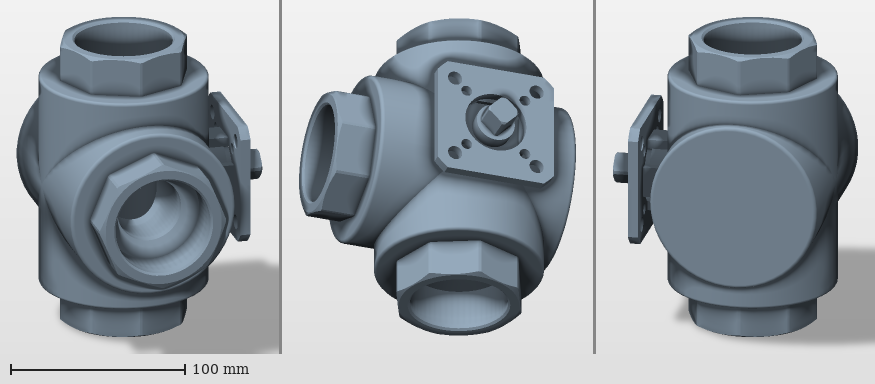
import cadquery as cq
import math

port_reach = 85.3
run_reach = 63.1
branch_reach = 63.5
blind_reach = 55.0
body_diameter = 98.0
run_edge_radius = 1.7
branch_edge_radius = 2.0

octagon_flats = 70.3
octagon_corner_diameter = 75.4
octagon_chamfer_height = 1.7
octagon_chamfer_inset = 3.0

socket_diameter = 56.6
socket_depth = 25.5
mouth_diameter = 59.0
bore_diameter = 38.0
cone_half_angle = 60.0

boss_diameter = 37.0
boss_top = 57.2
collar_diameter = 23.0
leg_width = 17.9
leg_thickness = 5.5
leg_outer_reach = 21.5
plate_bottom = 59.9
plate_thickness = 6.0
plate_top = plate_bottom + plate_thickness
plate_side = 70.5
plate_corner_diameter = 91.5
plate_opening_diameter = 37.0
outer_bolt_circle = 70.0
outer_hole_diameter = 8.5
inner_bolt_circle = 50.0
inner_hole_diameter = 6.5

stem_top = 80.5
stem_flats = 14.0
stem_corner_diameter = 17.9
stem_chamfer = 1.0

mount_root = 37.5

PORT_AXES = (cq.Vector(0, 0, 1), cq.Vector(0, 0, -1), cq.Vector(1, 0, 0))


def port_plane(axis):
    """Plane through the valve centre whose normal runs out of the port."""
    return cq.Plane(origin=(0, 0, 0), xDir=(0, 1, 0), normal=axis)


def mount_plane(height):
    """Plane facing +Y at a height above the valve centre, with local x along X."""
    return cq.Workplane(cq.Plane(origin=(0, height, 0), xDir=(1, 0, 0), normal=(0, 1, 0)))


def mount_cylinder(diameter, bottom, top):
    return mount_plane(bottom).circle(diameter / 2).extrude(top - bottom)


def body():
    """Two crossing barrels of equal diameter with rounded rims."""
    run = cq.Workplane("XY").workplane(offset=-run_reach)
    run = run.circle(body_diameter / 2).extrude(2 * run_reach)
    branch = cq.Workplane("YZ").workplane(offset=-blind_reach)
    branch = branch.circle(body_diameter / 2).extrude(blind_reach + branch_reach)
    run = run.edges("%CIRCLE").fillet(run_edge_radius)
    branch = branch.edges("%CIRCLE").fillet(branch_edge_radius)
    return run.union(branch)


def port_end(axis):
    """Octagonal wrench end with blunted corners and a conical face chamfer."""
    octagon = cq.Workplane(port_plane(axis)).workplane(offset=blind_reach)
    octagon = octagon.polygon(8, octagon_flats / math.cos(math.pi / 8))
    octagon = octagon.extrude(port_reach - blind_reach)
    turned = cq.Workplane(port_plane(axis)).circle(octagon_corner_diameter / 2).extrude(port_reach)
    turned = turned.faces(cq.selectors.DirectionMinMaxSelector(axis))
    turned = turned.chamfer(octagon_chamfer_height, octagon_chamfer_inset)
    return octagon.intersect(turned)


def port_bore(axis):
    """Countersunk socket that narrows through a cone to the flow bore."""
    mouth_chamfer = (mouth_diameter - socket_diameter) / 2
    socket_floor = port_reach - socket_depth
    cone_height = (socket_diameter - bore_diameter) / 2 / math.tan(math.radians(cone_half_angle))
    profile = [
        (0, 0),
        (bore_diameter / 2, 0),
        (bore_diameter / 2, socket_floor - cone_height),
        (socket_diameter / 2, socket_floor),
        (socket_diameter / 2, port_reach - mouth_chamfer),
        (mouth_diameter / 2, port_reach),
        (0, port_reach),
    ]
    section = cq.Plane(origin=(0, 0, 0), xDir=(0, 1, 0), normal=cq.Vector(0, 1, 0).cross(axis))
    return cq.Workplane(section).polyline(profile).close().revolve(360, (0, 0), (0, 1))


def legs():
    """Four flat legs carrying the plate, one on each side of the stem."""
    centre = leg_outer_reach - leg_thickness / 2
    height = plate_bottom - mount_root
    base = mount_plane(mount_root)
    side_legs = base.pushPoints([(-centre, 0), (centre, 0)]).rect(leg_thickness, leg_width).extrude(height)
    end_legs = base.pushPoints([(0, -centre), (0, centre)]).rect(leg_width, leg_thickness).extrude(height)
    return side_legs.union(end_legs)


def plate():
    """Square flange with turned corners, a round opening and two bolt circles on its diagonals."""
    flange = mount_plane(plate_bottom).rect(plate_side, plate_side).extrude(plate_thickness)
    flange = flange.intersect(mount_cylinder(plate_corner_diameter, plate_bottom, plate_top))
    flange = flange.cut(mount_cylinder(plate_opening_diameter, plate_bottom, plate_top))
    bolt_patterns = (
        (outer_bolt_circle, outer_hole_diameter),
        (inner_bolt_circle, inner_hole_diameter),
    )
    for circle, diameter in bolt_patterns:
        holes = mount_plane(plate_bottom).polarArray(circle / 2, 45, 360, 4)
        flange = flange.cut(holes.circle(diameter / 2).extrude(plate_thickness))
    return flange


def stem():
    """Square drive with blunted corners, turned 45 degrees to the plate."""
    square = mount_plane(boss_top).transformed(rotate=(0, 0, 45))
    square = square.rect(stem_flats, stem_flats).extrude(stem_top - boss_top)
    turned = mount_cylinder(stem_corner_diameter, boss_top, stem_top)
    turned = turned.faces(">Y").chamfer(stem_chamfer)
    return square.intersect(turned)


result = body()
for port_axis in PORT_AXES:
    result = result.union(port_end(port_axis))
result = result.union(mount_cylinder(boss_diameter, mount_root, boss_top))
result = result.union(mount_cylinder(collar_diameter, boss_top, plate_top))
result = result.union(legs().union(plate()))
result = result.union(stem())
for port_axis in PORT_AXES:
    result = result.cut(port_bore(port_axis))